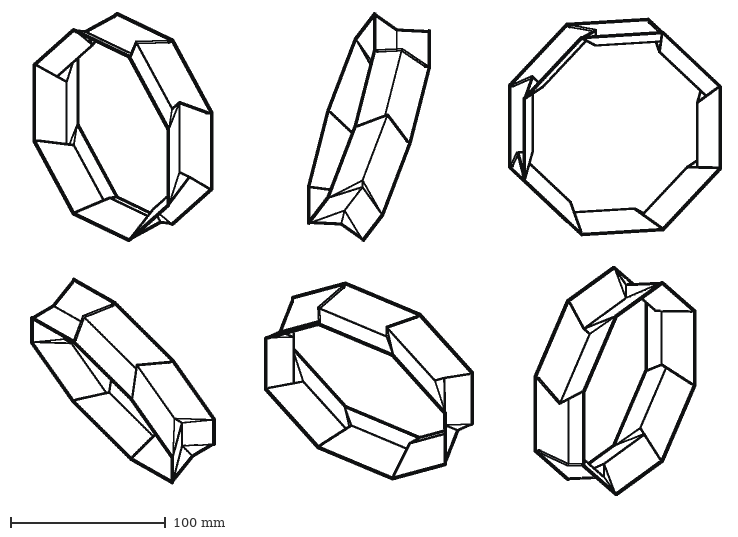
import cadquery as cq
import math

ACROSS_FLATS = 132.0
LENGTH = 38.4
RIM = 1.0
SHEET = 0.5
FOLD_APOTHEM = 55.3
SIDES = 8

RIM_APOTHEM = ACROSS_FLATS / 2
BORE_APOTHEM = RIM_APOTHEM - RIM
WALL_APOTHEM = BORE_APOTHEM + SHEET
FOLD_BORE_APOTHEM = FOLD_APOTHEM - SHEET
HALF_LENGTH = LENGTH / 2
WALL_HALF_LENGTH = HALF_LENGTH - RIM

SIDE_ANGLE = math.radians(360 / SIDES)
CORNER_SLOPE = math.tan(SIDE_ANGLE / 2)

OUTSIDE_STEP_X = (FOLD_APOTHEM - WALL_APOTHEM * math.cos(SIDE_ANGLE)) / math.sin(SIDE_ANGLE)
INSIDE_STEP_X = OUTSIDE_STEP_X + SHEET


def inside_step_tip():
    """Distance along Y where the inside step runs out on the mitre between two panels."""
    step_spread = WALL_APOTHEM * CORNER_SLOPE - OUTSIDE_STEP_X
    mitre_spread = (WALL_APOTHEM - FOLD_APOTHEM) * CORNER_SLOPE
    gap_at_fold = FOLD_BORE_APOTHEM * CORNER_SLOPE - INSIDE_STEP_X
    return WALL_HALF_LENGTH * gap_at_fold / (step_spread - mitre_spread)


def side_point(x, y, z, side):
    """Point given relative to the top side, turned clockwise to another side of the octagon."""
    turn = side * SIDE_ANGLE
    return cq.Vector(
        x * math.cos(turn) + z * math.sin(turn),
        y,
        z * math.cos(turn) - x * math.sin(turn),
    )


def octagon(apothem, y):
    """Octagonal wire across the ring axis at the given Y."""
    corners = [side_point(apothem * CORNER_SLOPE, y, apothem, side) for side in range(SIDES)]
    return cq.Wire.makePolygon(corners, close=True)


def flat_face(points):
    return cq.Face.makeFromWires(cq.Wire.makePolygon(points, close=True))


def rim(y_start):
    """Octagonal frame of square section."""
    frame = cq.Face.makeFromWires(octagon(RIM_APOTHEM, y_start), [octagon(BORE_APOTHEM, y_start)])
    return cq.Workplane(obj=cq.Solid.extrudeLinear(frame, cq.Vector(0, RIM, 0)))


def swirl(end_apothem, fold_apothem, step_x, tip_y):
    """Solid with octagonal ends and a sawtooth waist.

    Each side has two sloping panels that meet at the fold, and two triangles that form the
    radial step to the next side. The triangles end in tips at +-tip_y on the corner mitres.
    """
    tip_apothem = fold_apothem + (end_apothem - fold_apothem) * tip_y / WALL_HALF_LENGTH
    corner_x = end_apothem * CORNER_SLOPE
    tip_x = tip_apothem * CORNER_SLOPE
    overshoot_x = (step_x - fold_apothem * math.sin(SIDE_ANGLE)) / math.cos(SIDE_ANGLE)
    tips_at_corners = math.isclose(tip_y, WALL_HALF_LENGTH)

    faces = []
    for end in (-1, 1):
        faces.append(cq.Face.makeFromWires(octagon(end_apothem, end * WALL_HALF_LENGTH)))
        for side in range(SIDES):
            left_corner = side_point(-corner_x, end * WALL_HALF_LENGTH, end_apothem, side)
            right_corner = side_point(corner_x, end * WALL_HALF_LENGTH, end_apothem, side)
            left_tip = side_point(-tip_x, end * tip_y, tip_apothem, side)
            right_tip = side_point(tip_x, end * tip_y, tip_apothem, side)
            fold_start = side_point(overshoot_x, 0, fold_apothem, side)
            fold_end = side_point(step_x, 0, fold_apothem, side)
            next_fold_start = side_point(overshoot_x, 0, fold_apothem, side + 1)

            panel = [left_tip, right_tip, fold_end, fold_start]
            if not tips_at_corners:
                panel = [left_corner, right_corner] + panel[1:] + [left_tip]
            faces.append(flat_face(panel))
            faces.append(flat_face([right_tip, fold_end, next_fold_start]))
    return cq.Workplane(obj=cq.Solid.makeSolid(cq.Shell.makeShell(faces)))


outside = swirl(WALL_APOTHEM, FOLD_APOTHEM, OUTSIDE_STEP_X, WALL_HALF_LENGTH)
inside = swirl(BORE_APOTHEM, FOLD_BORE_APOTHEM, INSIDE_STEP_X, inside_step_tip())
wall = outside.cut(inside)

result = wall.union(rim(-HALF_LENGTH)).union(rim(WALL_HALF_LENGTH))